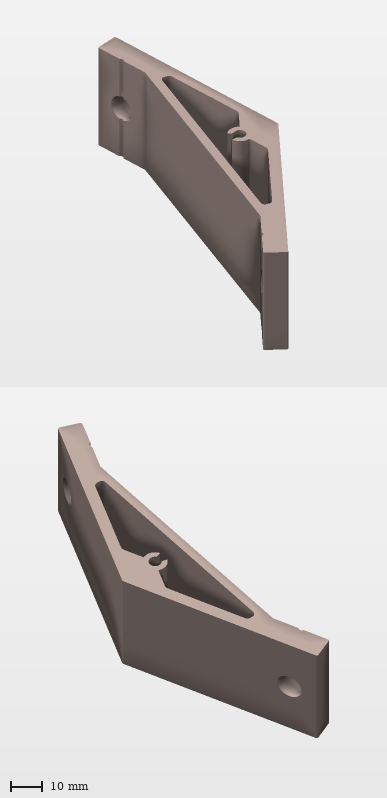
import cadquery as cq
import math


LENGTH = 129.0
HEIGHT = 38.0

ARM_SLOPE = math.radians(22.5)
ARM_THICKNESS = 8.0
ARM_END_RADIUS = 0.5
APEX_RADIUS = 0.5

WEB_DEPTH = 26.5
WEB_THICKNESS = 3.1

CAVITY_WALL = 3.9
CAVITY_PEAK_X = 11.0
CAVITY_PEAK_RADIUS = 2.0
CAVITY_END_X = 38.2
CAVITY_END_RADIUS = 1.4

CHANNEL_DEPTH = 13.4
CHANNEL_INNER_RADIUS = 2.1
CHANNEL_OUTER_RADIUS = 4.0
MOUTH_INNER_WIDTH = 1.5
MOUTH_OUTER_WIDTH = 3.9

HOLE_DIAMETER = 8.8
GROOVE_WIDTH = 1.8
GROOVE_DEPTH = 0.5

SIN = math.sin(ARM_SLOPE)
COS = math.cos(ARM_SLOPE)
TAN = math.tan(ARM_SLOPE)

CORNER_SETBACK = ARM_END_RADIUS * (SIN + COS - 1)
OUTER_TIP = (LENGTH / 2 + CORNER_SETBACK, -(LENGTH / 2 + CORNER_SETBACK) * TAN)
INNER_TIP = (OUTER_TIP[0] - ARM_THICKNESS * SIN, OUTER_TIP[1] - ARM_THICKNESS * COS)
WEB_CORNER = ((WEB_DEPTH - ARM_THICKNESS / COS) / TAN, -WEB_DEPTH)

CAVITY_FLOOR_Y = WEB_THICKNESS - WEB_DEPTH
CAVITY_DROP = CAVITY_WALL / COS
CAVITY_END_TOP = (CAVITY_END_X, -CAVITY_DROP - CAVITY_END_X * TAN)
CAVITY_END_BOTTOM = (CAVITY_END_X, CAVITY_FLOOR_Y)
CAVITY_PEAK = (CAVITY_PEAK_X, -CAVITY_DROP - CAVITY_PEAK_X * TAN)
CAVITY_VALLEY = (0, CAVITY_PEAK[1] - CAVITY_PEAK_X * TAN)

ARM_MIDDLE = ((WEB_CORNER[0] + INNER_TIP[0]) / 2, (WEB_CORNER[1] + INNER_TIP[1]) / 2)


def mirrored(point):
    return (-point[0], point[1])


def edges_at(points):
    """Selector for the Z-parallel edges through the given XY points and their mirror images."""
    tolerance = 0.06
    selector = None
    for x, y in points + [mirrored(point) for point in points]:
        box = cq.selectors.BoxSelector(
            (x - tolerance, y - tolerance, -HEIGHT), (x + tolerance, y + tolerance, HEIGHT)
        )
        selector = box if selector is None else selector + box
    return selector


def extrude_section(points):
    return cq.Workplane("XY").polyline(points).close().extrude(HEIGHT / 2, both=True)


def make_body():
    right_side = [OUTER_TIP, INNER_TIP, WEB_CORNER]
    left_side = [mirrored(point) for point in reversed(right_side)]
    body = extrude_section([(0, 0)] + right_side + left_side)
    body = body.edges(edges_at([OUTER_TIP, INNER_TIP])).fillet(ARM_END_RADIUS)
    return body.edges("|Z").edges(">Y").fillet(APEX_RADIUS)


def make_cavity():
    right_side = [CAVITY_PEAK, CAVITY_END_TOP, CAVITY_END_BOTTOM]
    left_side = [mirrored(point) for point in reversed(right_side)]
    cavity = extrude_section([CAVITY_VALLEY] + right_side + left_side)
    cavity = cavity.edges(edges_at([CAVITY_PEAK])).fillet(CAVITY_PEAK_RADIUS)
    return cavity.edges(edges_at([CAVITY_END_TOP, CAVITY_END_BOTTOM])).fillet(CAVITY_END_RADIUS)


def make_channel_cylinder(radius):
    """Full-height cylinder on the channel axis."""
    return cq.Workplane("XY").center(0, -CHANNEL_DEPTH).circle(radius).extrude(HEIGHT / 2, both=True)


def make_channel_mouth():
    """Flared slot that opens the channel toward the web."""
    axis_y = -CHANNEL_DEPTH
    outer_y = axis_y - CHANNEL_OUTER_RADIUS
    return extrude_section(
        [
            (-MOUTH_INNER_WIDTH / 2, axis_y),
            (MOUTH_INNER_WIDTH / 2, axis_y),
            (MOUTH_OUTER_WIDTH / 2, outer_y),
            (-MOUTH_OUTER_WIDTH / 2, outer_y),
        ]
    )


def arm_point(along, inward):
    """Point at a distance along the right arm's lower face from its middle, and into the arm."""
    return (
        ARM_MIDDLE[0] + along * COS + inward * SIN,
        ARM_MIDDLE[1] - along * SIN + inward * COS,
    )


def make_arm_cuts():
    """Bolt hole and shallow round groove of the right arm, both square to its lower face."""
    lower_face = cq.Plane(
        origin=(ARM_MIDDLE[0], ARM_MIDDLE[1], 0), xDir=(0, 0, 1), normal=(SIN, COS, 0)
    )
    hole = (
        cq.Workplane(lower_face)
        .circle(HOLE_DIAMETER / 2)
        .extrude(ARM_THICKNESS, both=True)
    )
    groove = (
        cq.Workplane("XY")
        .moveTo(*arm_point(-GROOVE_WIDTH / 2, 0))
        .threePointArc(arm_point(0, GROOVE_DEPTH), arm_point(GROOVE_WIDTH / 2, 0))
        .close()
        .extrude(HEIGHT / 2, both=True)
    )
    return hole.union(groove)


right_cuts = make_arm_cuts()

result = (
    make_body()
    .cut(make_cavity())
    .union(make_channel_cylinder(CHANNEL_OUTER_RADIUS))
    .cut(make_channel_cylinder(CHANNEL_INNER_RADIUS))
    .cut(make_channel_mouth())
    .cut(right_cuts)
    .cut(right_cuts.mirror("YZ"))
)